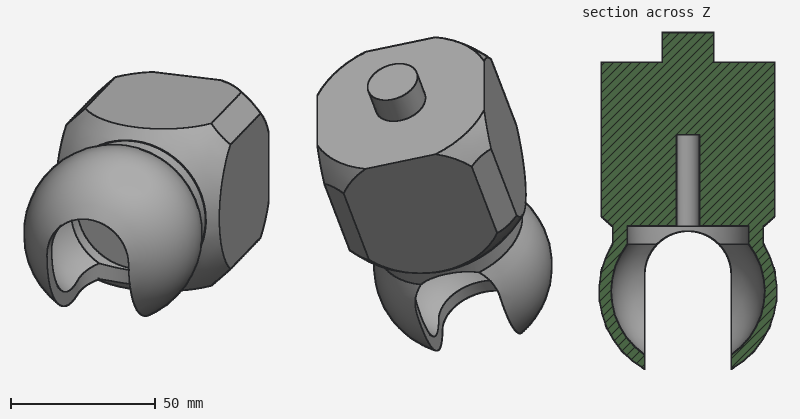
import cadquery as cq
import math

total_length = 116.6

body_width = 60.1
edge_bevel = 7.0
body_back = 79.3
turning_radius = 41.2
turning_centre = 54.1

ball_radius = 30.9
neck_radius = 26.1
neck_back = 22.5

slot_radius = 14.9
slot_end_centre = 5.8

socket_radius = 26.6
socket_bore_radius = 21.0
socket_floor = 22.5
pilot_hole_radius = 4.0
pilot_hole_end = turning_centre

front_rim = -math.sqrt(ball_radius**2 - slot_radius**2)
pin_radius = 9.0
pin_end = front_rim + total_length


def cylinder_y(radius, start, end):
    """Cylinder on the Y axis from start to end."""
    return cq.Workplane("XZ", origin=(0, start, 0)).circle(radius).extrude(start - end)


def make_body():
    length = body_back - neck_back
    middle = (body_back + neck_back) / 2
    block = cq.Workplane("XY").box(body_width, length, body_width).edges("|Y").chamfer(edge_bevel)
    turning = cq.Workplane("XY").sphere(turning_radius).translate((0, turning_centre, 0))
    return block.translate((0, middle, 0)).intersect(turning)


def ball_with_neck(sphere_radius, cylinder_radius, cylinder_end):
    """Sphere at the origin whose back runs into a coaxial cylinder ending at cylinder_end."""
    seam = math.sqrt(sphere_radius**2 - cylinder_radius**2)
    return (
        cq.Workplane("XY")
        .moveTo(0, -sphere_radius)
        .threePointArc((sphere_radius, 0), (cylinder_radius, seam))
        .lineTo(cylinder_radius, cylinder_end)
        .lineTo(0, cylinder_end)
        .close()
        .revolve(360, (0, 0, 0), (0, 1, 0))
    )


def make_socket():
    cavity = ball_with_neck(socket_radius, socket_bore_radius, socket_floor)
    pilot_hole = cylinder_y(pilot_hole_radius, 0, pilot_hole_end)
    return cavity.union(pilot_hole)


def make_slot():
    """Arched front opening joined to a downward opening with a round end."""
    arch = cylinder_y(slot_radius, -ball_radius, 0)
    channel = (
        cq.Workplane("XY")
        .moveTo(-slot_radius, -ball_radius)
        .lineTo(slot_radius, -ball_radius)
        .lineTo(slot_radius, slot_end_centre)
        .threePointArc((0, slot_end_centre + slot_radius), (-slot_radius, slot_end_centre))
        .close()
        .extrude(-ball_radius)
    )
    return arch.union(channel)


ball_and_neck = ball_with_neck(ball_radius, neck_radius, neck_back)
pin = cylinder_y(pin_radius, body_back, pin_end)
solid_part = make_body().union(ball_and_neck).union(pin)
result = solid_part.cut(make_socket()).cut(make_slot())